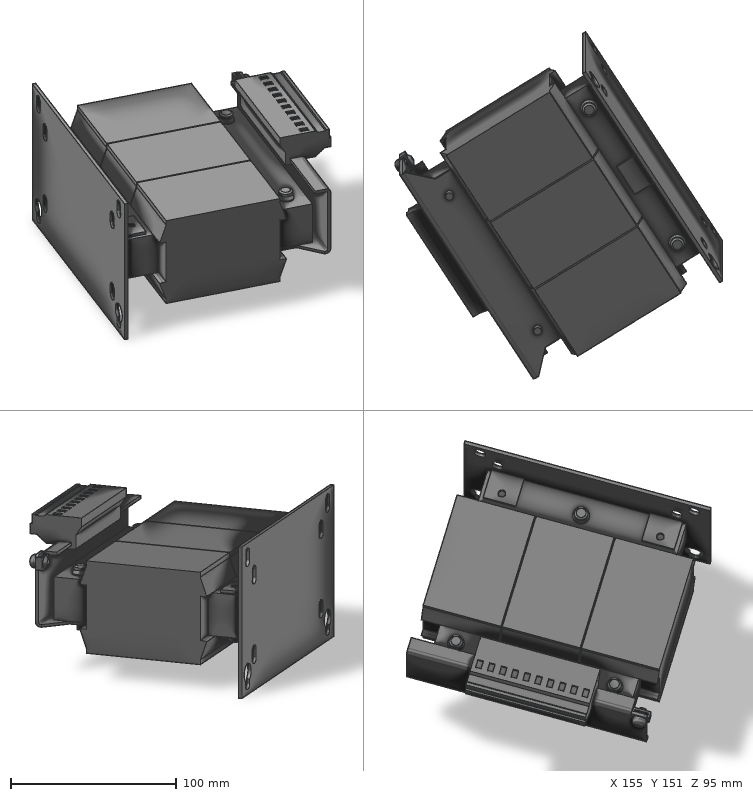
import cadquery as cq
import math


PLATE_WIDTH = 155.0
PLATE_HEIGHT = 95.0
PLATE_THICKNESS = 2.2
SLOT_WIDTH = 6.5
SLOT_LENGTH = 11.5
OUTER_SLOT_X = 67.5
OUTER_SLOT_Z = 38.6
INNER_SLOT_X = 56.4
INNER_SLOT_Z = 25.0
KEYHOLE_DIAMETER = 11.5
KEYHOLE_Z = -33.8

CORE_SIZE = 125.1
CORE_FRONT = 2.5
CORE_REAR = CORE_FRONT + CORE_SIZE
CORE_THICKNESS = 27.0
YOKE_WIDTH = 25.0
CORE_MID_Y = CORE_FRONT + CORE_SIZE / 2
CORE_MID_Z = -0.8
CORE_TOP = CORE_MID_Z + CORE_THICKNESS / 2
CORE_BOTTOM = CORE_MID_Z - CORE_THICKNESS / 2
LEG_PITCH = 49.9

COIL_WIDTH = 49.0
COIL_LENGTH = 74.0
COIL_HEIGHT = 58.0
LIP_DEPTH = 4.2
LIP_CLEARANCE = 0.3
LIP_KINK_DEPTH = 2.0
LIP_KINK_RISE = 0.3
COIL_EDGE_HEIGHT = 3.1

FRONT_BOLT_Y = CORE_FRONT + YOKE_WIDTH / 2
REAR_BOLT_Y = CORE_REAR - YOKE_WIDTH / 2
BOLT_DIAMETER = 4.5
WASHER_RADIUS = 5.1
WASHER_RIM = 0.6
WASHER_HEIGHT = 3.0
HEAD_RADIUS = 4.2
HEAD_HEIGHT = 5.6
HEAD_TOP_RADIUS = 3.0
HEAD_BEVEL = 0.8
REAR_BOLT_END_Z = -22.0

FOOT_WIDTH = 20.6
FOOT_END_Y = 20.5
FOOT_THICKNESS = 1.9
LOWER_FOOT_GAP = 0.5

RAIL_REAR = 134.5
RAIL_SHEET = 2.0
RAIL_TOP = 29.3
RAIL_BEND_RADIUS = 3.1
RAIL_HALF_LENGTH = 75.5
TOP_FLANGE_FRONT = 124.3
TOP_FLANGE_LEFT = -65.9
BASE_FLANGE_FRONT = 106.3
BASE_FLANGE_THICKNESS = 1.7
BASE_TAPER_FRONT = 117.3
BASE_HALF_WIDTH = 62.3
EAR_RADIUS = 1.5

POLE_COUNT = 10
POLE_PITCH = 7.5
TERMINAL_LENGTH = 75.3
TERMINAL_MID_X = -4.0
TERMINAL_FRONT = 117.6
TERMINAL_REAR = 151.0
TERMINAL_TOP = 45.3
FRONT_FACE_BOTTOM = 39.7
TERMINAL_FOOT_FRONT = 121.4
TERMINAL_FOOT_REAR = 127.4
TERMINAL_FOOT_BOTTOM = 25.5
FOOT_SHOULDER_Z = 34.1
FOOT_SLOPE = 0.8
REAR_SLOPE_START = 140.6
REAR_SLOPE_END = 146.6
LEDGE_BOTTOM = 32.2
LEDGE_TOP = 38.6
RIDGE_REAR = 149.7
RIDGE_FRONT = 147.9
RIDGE_TOP = 44.6
GROOVE_REAR = 147.2
GROOVE_FRONT = 142.3
GROOVE_FLOOR = 44.0
TOP_FACE_REAR = 140.7
POCKET_WIDTH = 3.4
POCKET_LENGTH = 5.1
POCKET_Y = 134.8
POCKET_DEPTH = 1.5

SCREW_X = -71.6
SCREW_Z = 24.0
SCREW_RADIUS = 4.2
SCREW_SHANK_RADIUS = 2.0
SCREW_RIM = 1.2
SCREW_HEAD_HEIGHT = 4.5
SCREW_CROWN_RADIUS = 1.9
SCREW_TIP_Y = 127.7
CLIP_WIDTH = 11.0
CLIP_HEIGHT = 8.0
CLIP_FRONT = 129.6
CLIP_REAR = 133.8
CLIP_SHEET = 1.2

OVERLAP = 0.2


def block(x_min, x_max, y_min, y_max, z_min, z_max):
    size = (x_max - x_min, y_max - y_min, z_max - z_min)
    return cq.Workplane("XY").box(*size, centered=False).translate((x_min, y_min, z_min))


def plate_slot(x, z):
    """Upright slot cutter through the mounting plate."""
    return (
        cq.Workplane("XZ")
        .center(x, z)
        .slot2D(SLOT_LENGTH, SLOT_WIDTH, 90)
        .extrude(-PLATE_THICKNESS)
    )


def keyhole(x):
    """Round opening with a narrow slot running down from it."""
    opening = (
        cq.Workplane("XZ")
        .center(x, KEYHOLE_Z)
        .circle(KEYHOLE_DIAMETER / 2)
        .extrude(-PLATE_THICKNESS)
    )
    return opening.union(plate_slot(x, -OUTER_SLOT_Z))


def mounting_plate():
    """Flat plate with upright slots and two keyholes in the lower corners."""
    half_width = PLATE_WIDTH / 2
    half_height = PLATE_HEIGHT / 2
    plate = block(-half_width, half_width, 0, PLATE_THICKNESS, -half_height, half_height)
    for side in (-1, 1):
        plate = plate.cut(plate_slot(side * OUTER_SLOT_X, OUTER_SLOT_Z))
        plate = plate.cut(keyhole(side * OUTER_SLOT_X))
        for z in (-INNER_SLOT_Z, INNER_SLOT_Z):
            plate = plate.cut(plate_slot(side * INNER_SLOT_X, z))
    return plate


def core():
    """Front and rear yokes joined by three legs inside the coils."""
    half = CORE_SIZE / 2
    body = block(-half, half, CORE_FRONT, CORE_FRONT + YOKE_WIDTH, CORE_BOTTOM, CORE_TOP)
    body = body.union(block(-half, half, CORE_REAR - YOKE_WIDTH, CORE_REAR, CORE_BOTTOM, CORE_TOP))
    for leg in (-1, 0, 1):
        left = leg * LEG_PITCH - YOKE_WIDTH / 2
        body = body.union(
            block(left, left + YOKE_WIDTH, CORE_FRONT, CORE_REAR, CORE_BOTTOM, CORE_TOP)
        )
    return body


def coil(x):
    """Coil block with bevelled lips that reach over the yokes on all four edges."""
    half_length = COIL_LENGTH / 2
    half_height = COIL_HEIGHT / 2
    lip_base = CORE_THICKNESS / 2 + LIP_CLEARANCE
    quarter = [
        (half_length, lip_base),
        (half_length + LIP_KINK_DEPTH, lip_base),
        (half_length + LIP_DEPTH, lip_base + LIP_KINK_RISE),
        (half_length, half_height - COIL_EDGE_HEIGHT),
        (half_length, half_height),
    ]
    upper = quarter + [(-y, z) for y, z in reversed(quarter)]
    lower = [(-y, -z) for y, z in upper]
    return (
        cq.Workplane("YZ")
        .polyline(upper + lower)
        .close()
        .extrude(COIL_WIDTH)
        .translate((x - COIL_WIDTH / 2, CORE_MID_Y, CORE_MID_Z))
    )


def bolt_head(x, y, upward):
    """Head on a conical washer, seated on the upper or lower face of the core."""
    profile = [
        (0, -OVERLAP),
        (WASHER_RADIUS, -OVERLAP),
        (WASHER_RADIUS, WASHER_RIM),
        (HEAD_RADIUS, WASHER_HEIGHT),
        (HEAD_RADIUS, HEAD_HEIGHT - HEAD_BEVEL),
        (HEAD_TOP_RADIUS, HEAD_HEIGHT),
        (0, HEAD_HEIGHT),
    ]
    head = cq.Workplane("XZ").polyline(profile).close().revolve(360, (0, 0, 0), (0, 1, 0))
    if upward:
        return head.translate((x, y, CORE_TOP))
    return head.mirror("XY").translate((x, y, CORE_BOTTOM))


def shank(x, y, z_end):
    """Bolt end reaching down from inside the core."""
    length = CORE_MID_Z - z_end
    return cq.Workplane("XY").circle(BOLT_DIAMETER / 2).extrude(length).translate((x, y, z_end))


def foot(x, z_min):
    half = FOOT_WIDTH / 2
    return block(x - half, x + half, PLATE_THICKNESS - OVERLAP, FOOT_END_Y, z_min, z_min + FOOT_THICKNESS)


def drilled_foot(x, z_min):
    hole = cq.Workplane("XY").circle(BOLT_DIAMETER / 2).extrude(FOOT_THICKNESS)
    return foot(x, z_min).cut(hole.translate((x, FRONT_BOLT_Y, z_min)))


def feet_and_bolts():
    """Two upper feet and a middle lower foot, with a bolt head opposite each foot."""
    lower_foot_bottom = CORE_BOTTOM - LOWER_FOOT_GAP - FOOT_THICKNESS
    parts = foot(0, lower_foot_bottom)
    parts = parts.union(shank(0, FRONT_BOLT_Y, lower_foot_bottom))
    parts = parts.union(bolt_head(0, FRONT_BOLT_Y, True))
    for x in (-LEG_PITCH, LEG_PITCH):
        parts = parts.union(drilled_foot(x, CORE_TOP))
        parts = parts.union(bolt_head(x, FRONT_BOLT_Y, False))
        parts = parts.union(bolt_head(x, REAR_BOLT_Y, True))
        parts = parts.union(shank(x, REAR_BOLT_Y, REAR_BOLT_END_Z))
    return parts


def rail_bracket():
    """Sheet bent twice: tapered base flange, upright wall and top flange."""
    half = RAIL_HALF_LENGTH
    base = CORE_BOTTOM - BASE_FLANGE_THICKNESS
    wall_front = RAIL_REAR - RAIL_SHEET
    inner_radius = RAIL_BEND_RADIUS - RAIL_SHEET
    angle = block(-half, half, BASE_FLANGE_FRONT, RAIL_REAR, base, RAIL_TOP)
    angle = angle.edges("|X and >Y and <Z").fillet(RAIL_BEND_RADIUS)
    inside = block(-half, half, BASE_FLANGE_FRONT, wall_front, CORE_BOTTOM, RAIL_TOP)
    angle = angle.cut(inside.edges("|X and >Y and <Z").fillet(inner_radius))

    upper_wall = block(-half, half, wall_front, RAIL_REAR, 0, RAIL_TOP)
    ear = block(-half, TOP_FLANGE_LEFT, wall_front, RAIL_REAR, 0, RAIL_TOP)
    ear = ear.edges("|Y and <X and >Z").fillet(EAR_RADIUS)
    angle = angle.cut(upper_wall).union(ear)

    channel = block(TOP_FLANGE_LEFT, half, TOP_FLANGE_FRONT, RAIL_REAR, 0, RAIL_TOP)
    channel = channel.edges("|X and >Y and >Z").fillet(RAIL_BEND_RADIUS)
    hollow = block(TOP_FLANGE_LEFT, half, TOP_FLANGE_FRONT, wall_front, 0, RAIL_TOP - RAIL_SHEET)
    hollow = hollow.edges("|X and >Y and >Z").fillet(inner_radius)
    bracket = angle.union(channel.cut(hollow))

    taper_rear = BASE_TAPER_FRONT + half - BASE_HALF_WIDTH
    for side in (-1, 1):
        corner = [
            (side * half, BASE_FLANGE_FRONT),
            (side * BASE_HALF_WIDTH, BASE_FLANGE_FRONT),
            (side * BASE_HALF_WIDTH, BASE_TAPER_FRONT),
            (side * half, taper_rear),
        ]
        cutter = cq.Workplane("XY").polyline(corner).close().extrude(base)
        bracket = bracket.cut(cutter)
    return bracket


def terminal_strip():
    """Constant-section strip with one shallow pocket per pole in its top face."""
    flange_bottom = RAIL_TOP - RAIL_SHEET
    profile = [
        (TERMINAL_FRONT, TERMINAL_TOP),
        (TERMINAL_FRONT, FRONT_FACE_BOTTOM),
        (TERMINAL_FOOT_FRONT, FOOT_SHOULDER_Z),
        (TERMINAL_FOOT_FRONT, TERMINAL_FOOT_BOTTOM),
        (TERMINAL_FOOT_REAR, TERMINAL_FOOT_BOTTOM - FOOT_SLOPE),
        (TERMINAL_FOOT_REAR, flange_bottom),
        (REAR_SLOPE_START, flange_bottom),
        (REAR_SLOPE_END, LEDGE_BOTTOM),
        (TERMINAL_REAR, LEDGE_BOTTOM),
        (TERMINAL_REAR, LEDGE_TOP),
        (RIDGE_REAR, LEDGE_TOP),
        (RIDGE_REAR, RIDGE_TOP),
        (RIDGE_FRONT, RIDGE_TOP),
        (GROOVE_REAR, GROOVE_FLOOR),
        (GROOVE_FRONT, GROOVE_FLOOR),
        (TOP_FACE_REAR, TERMINAL_TOP),
    ]
    left = TERMINAL_MID_X - TERMINAL_LENGTH / 2
    strip = cq.Workplane("YZ").polyline(profile).close().extrude(TERMINAL_LENGTH).translate((left, 0, 0))
    pockets = (
        cq.Workplane("XY", origin=(TERMINAL_MID_X, POCKET_Y, TERMINAL_TOP))
        .rarray(POLE_PITCH, 1.5, POLE_COUNT, 1)
        .rect(POCKET_WIDTH, POCKET_LENGTH)
        .extrude(-POCKET_DEPTH)
    )
    return strip.cut(pockets)


def earth_screw():
    """Domed screw through the rail wall and a U-shaped clip in front of it."""
    rim_y = RAIL_REAR + SCREW_RIM
    head_y = RAIL_REAR + SCREW_HEAD_HEIGHT
    halfway = math.sqrt(0.5)
    dome_mid = (
        SCREW_CROWN_RADIUS + (SCREW_RADIUS - SCREW_CROWN_RADIUS) * halfway,
        rim_y + (head_y - rim_y) * halfway,
    )
    screw = (
        cq.Workplane("XY")
        .moveTo(0, SCREW_TIP_Y)
        .lineTo(SCREW_CROWN_RADIUS, SCREW_TIP_Y)
        .lineTo(SCREW_RADIUS, CLIP_FRONT)
        .lineTo(SCREW_SHANK_RADIUS, CLIP_FRONT)
        .lineTo(SCREW_SHANK_RADIUS, RAIL_REAR)
        .lineTo(SCREW_RADIUS, RAIL_REAR)
        .lineTo(SCREW_RADIUS, rim_y)
        .threePointArc(dome_mid, (SCREW_CROWN_RADIUS, head_y))
        .lineTo(0, head_y)
        .close()
        .revolve(360, (0, 0, 0), (0, 1, 0))
        .translate((SCREW_X, 0, SCREW_Z))
    )
    left = SCREW_X - CLIP_WIDTH / 2
    right = SCREW_X + CLIP_WIDTH / 2
    bottom = SCREW_Z - CLIP_HEIGHT / 2
    top = SCREW_Z + CLIP_HEIGHT / 2
    clip = block(left, right, CLIP_FRONT, CLIP_REAR, bottom, top)
    clip = clip.cut(
        block(left + CLIP_SHEET, right - CLIP_SHEET, CLIP_FRONT + CLIP_SHEET, CLIP_REAR, bottom, top)
    )
    return screw.union(clip)


result = mounting_plate().union(core())
for leg in (-1, 0, 1):
    result = result.union(coil(leg * LEG_PITCH))
result = result.union(feet_and_bolts())
result = result.union(rail_bracket())
result = result.union(terminal_strip())
result = result.union(earth_screw())